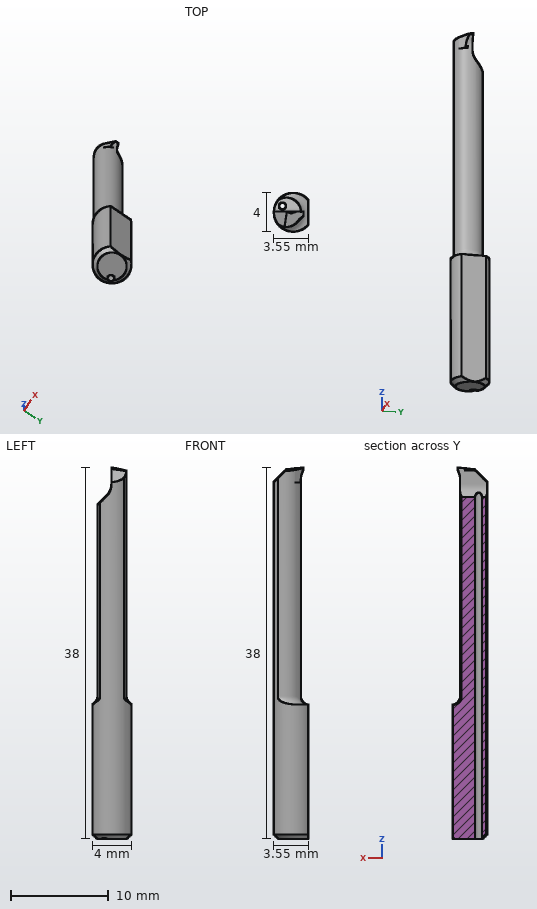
import cadquery as cq
import math

total_length = 38.0
shank_diameter = 4.0
shank_radius = shank_diameter / 2
flat_width_x = 3.55
flat_x = flat_width_x - shank_radius
shank_length = 13.75
end_chamfer = 0.5

neck_diameter = 3.0
neck_radius = neck_diameter / 2
neck_side_x = 0.8
neck_center_x = neck_side_x - neck_radius
neck_fillet = 0.8

coolant_diameter = 0.7
coolant_x = -1.1
coolant_y = 0.65

bevel_bottom = 36.5
clearance_angle = 8.0
top_tilt = 4.6
rake_y = 0.08
runout_z = 35.6
runout_radius = 1.52

tooth_inner_x = 0.3
tooth_tip_x = 1.05
tooth_waist_x = 0.85
tooth_base_x = 0.72
tooth_base_z = 36.48
tooth_waist_z = 37.2
tooth_tip_land = 0.15
tooth_back_y = -1.3
facet_offset = 1.4

groove_start_x = -0.72
groove_end_x = 0.3
groove_depth = 0.2
groove_floor_z = 37.7

cutter_size = 11.4


def make_shank():
    shank = cq.Workplane("XY").circle(shank_radius).extrude(shank_length)
    return shank.faces("<Z").chamfer(end_chamfer)


def make_neck():
    """Revolve the neck with its concave foot, then trim it to the shank cylinder."""
    foot_radius = neck_radius + neck_fillet
    fillet_top = shank_length + neck_fillet
    arc_shift = neck_fillet * math.sqrt(0.5)
    arc_middle = (foot_radius - arc_shift, fillet_top - arc_shift)
    neck = (
        cq.Workplane("XZ")
        .moveTo(0, shank_length)
        .lineTo(foot_radius, shank_length)
        .threePointArc(arc_middle, (neck_radius, fillet_top))
        .lineTo(neck_radius, total_length)
        .lineTo(0, total_length)
        .close()
        .revolve(360, (0, 0, 0), (0, 1, 0))
        .translate((neck_center_x, 0, 0))
    )
    envelope = cq.Workplane("XY").circle(shank_radius).extrude(total_length)
    return neck.intersect(envelope)


def make_space_above_head():
    """Block above the tilted top face, whose highest point is the tooth tip."""
    block = cq.Workplane("XY").box(cutter_size, cutter_size, cutter_size, centered=(True, True, False))
    block = block.rotate((0, 0, 0), (1, 0, 0), clearance_angle)
    block = block.rotate((0, 0, 0), (0, 1, 0), -top_tilt)
    return block.translate((tooth_tip_x, rake_y, total_length))


def make_nose_bevel():
    return (
        cq.Workplane("XZ")
        .moveTo(-shank_radius, bevel_bottom)
        .lineTo(-shank_radius + cutter_size, bevel_bottom + cutter_size)
        .lineTo(-shank_radius - cutter_size, bevel_bottom + cutter_size)
        .lineTo(-shank_radius - cutter_size, bevel_bottom - cutter_size)
        .close()
        .extrude(cutter_size, both=True)
    )


def make_tooth():
    tip_bottom = total_length - tooth_tip_land
    return (
        cq.Workplane("XZ", origin=(0, rake_y, 0))
        .moveTo(tooth_inner_x, tooth_base_z)
        .lineTo(tooth_base_x, tooth_base_z)
        .lineTo(tooth_waist_x, tooth_waist_z)
        .lineTo(tooth_tip_x, tip_bottom)
        .lineTo(tooth_tip_x, total_length)
        .lineTo(tooth_inner_x, total_length)
        .close()
        .extrude(rake_y - tooth_back_y)
    )


def make_facet():
    """Vertical 45 degree relief behind the cutting edge."""
    return (
        cq.Workplane("XY", origin=(0, 0, tooth_base_z))
        .moveTo(facet_offset, 0)
        .lineTo(facet_offset - cutter_size, -cutter_size)
        .lineTo(facet_offset, -cutter_size)
        .lineTo(facet_offset + cutter_size, 0)
        .close()
        .extrude(cutter_size)
    )


def make_chip_space():
    """Clear the +Y half of the head: rake face, tangent arc, then 45 degree runout."""
    tangent = runout_radius * math.tan(math.pi / 8)
    leg = tangent * math.sqrt(0.5)
    arc_start = (rake_y, runout_z + tangent)
    arc_end = (rake_y + leg, runout_z - leg)
    arc_middle = (
        rake_y + runout_radius * (1 - math.cos(math.pi / 8)),
        arc_start[1] - runout_radius * math.sin(math.pi / 8),
    )
    return (
        cq.Workplane("YZ")
        .moveTo(rake_y, total_length + cutter_size)
        .lineTo(*arc_start)
        .threePointArc(arc_middle, arc_end)
        .lineTo(rake_y + cutter_size, runout_z - cutter_size)
        .lineTo(rake_y + cutter_size, total_length + cutter_size)
        .close()
        .extrude(cutter_size, both=True)
    )


def make_chip_groove():
    """Triangular notch, deepest midway along its length."""
    return (
        cq.Workplane("XY", origin=(0, 0, groove_floor_z))
        .moveTo(groove_start_x, rake_y)
        .lineTo((groove_start_x + groove_end_x) / 2, rake_y - groove_depth)
        .lineTo(groove_end_x, rake_y)
        .close()
        .extrude(cutter_size)
    )


def make_flat():
    return cq.Workplane("XY").box(
        cutter_size, cutter_size, total_length, centered=(False, True, False)
    ).translate((flat_x, 0, 0))


def make_coolant_hole():
    return (
        cq.Workplane("XY")
        .center(coolant_x, coolant_y)
        .circle(coolant_diameter / 2)
        .extrude(total_length)
    )


bar = make_shank().union(make_neck()).union(make_tooth())

result = (
    bar.cut(make_nose_bevel())
    .cut(make_space_above_head())
    .cut(make_facet())
    .cut(make_chip_space())
    .cut(make_chip_groove())
    .cut(make_flat())
    .cut(make_coolant_hole())
)